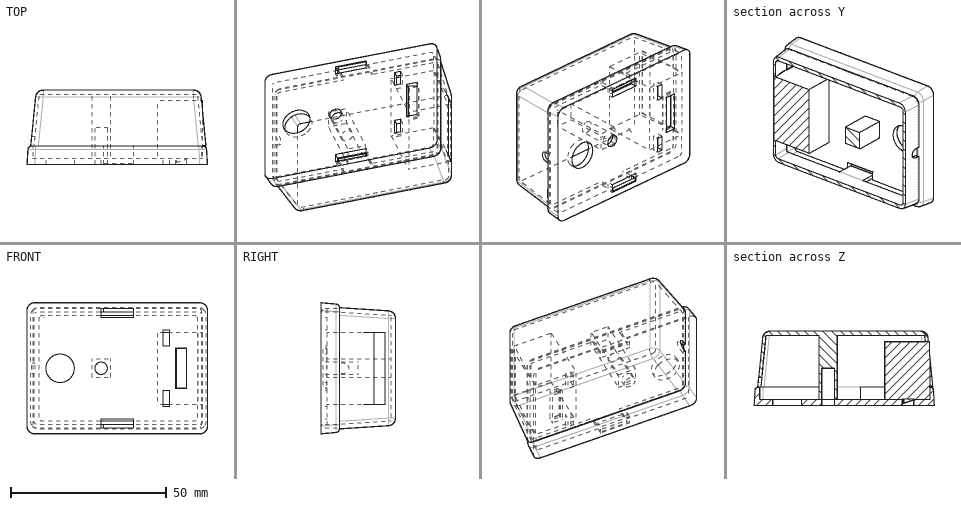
import cadquery as cq
import math


BASE_LENGTH = 58.17
BASE_WIDTH = 42.27
BASE_HEIGHT = 6.0
BASE_DRAFT_X = 3.4
BASE_DRAFT_Z = 5.0
BASE_PLATE = 2.0
BASE_RIM_RADIUS = 1.3
CORNER_RADIUS = 2.5
TRAY_LENGTH = 54.4
TRAY_WIDTH = 38.4
TRAY_CORNER_RADIUS = 1.0

TOTAL_HEIGHT = 24.03
COVER_SHIFT = 0.35
COVER_LENGTH = 56.5
COVER_WIDTH = 39.1
COVER_DRAFT_X = 5.7
COVER_DRAFT_Z = 3.7
COVER_WALL = 1.5
COVER_END_WALL = 1.1
CAVITY_CORNER_RADIUS = 1.0
COVER_TOP_RADIUS = 2.5

TONGUE_SLOT_LENGTH = 10.35
TONGUE_SLOT_INNER_Z = 16.35
TONGUE_LENGTH = TONGUE_SLOT_LENGTH - 2 * COVER_SHIFT
TONGUE_TIP_Y = 0.4

NOTCH_WIDTH = 3.26
NOTCH_HEIGHT = 3.0

OPENING_X = -18.4
OPENING_DIAMETER = 9.15

SCREW_X = -5.2
SCREW_DIAMETER = 4.0
PILLAR_SIDE = 6.0
PILLAR_BORE_DEPTH = 10.0

SMALL_SLOT_X = (14.8, 16.8)
SMALL_SLOT_Z = (7.15, 12.25)

LATCH_SLOT_X = (18.75, 22.35)
LATCH_SLOT_WIDTH = 13.0
LATCH_SIDE_GAP = 0.2
LATCH_LOW_Y = 0.7
LATCH_HIGH_Y = 1.75

BLOCK_X = (13.0, 27.5)
BLOCK_TOP_Y = 20.6
BLOCK_WIDTH = 23.2


def box(x_range, y_range, z_range):
    """Axis-aligned box between the given limits."""
    sizes = [high - low for low, high in (x_range, y_range, z_range)]
    corner = (x_range[0], y_range[0], z_range[0])
    return cq.Workplane("XY").box(*sizes, centered=False).translate(corner)


def cylinder(x, diameter, y_range):
    """Cylinder along Y at the given X, on the plane Z = 0."""
    low, high = y_range
    return cq.Workplane("XZ", origin=(x, low, 0)).circle(diameter / 2).extrude(low - high)


def drafted_block(length, width, height, draft_x, draft_z):
    """Block on the plane Y = 0 whose sides lean inwards towards +Y by the draft angles."""
    far_length = length - 2 * height * math.tan(math.radians(draft_x))
    far_width = width - 2 * height * math.tan(math.radians(draft_z))
    return (
        cq.Workplane("XZ")
        .rect(length, width)
        .workplane(offset=-height)
        .rect(far_length, far_width)
        .loft(ruled=True)
    )


def side_edges(block):
    """The four edges of a drafted block that join its front and back faces."""
    return block.edges("not(#Y)")


def both_sides(z_range):
    """A Z range and its mirror image about Z = 0."""
    low, high = z_range
    return ((low, high), (-high, -low))


def make_base():
    base = drafted_block(BASE_LENGTH, BASE_WIDTH, BASE_HEIGHT, BASE_DRAFT_X, BASE_DRAFT_Z)
    base = side_edges(base).fillet(CORNER_RADIUS)
    base = base.faces(">Y").edges().fillet(BASE_RIM_RADIUS)

    tray_depth = BASE_HEIGHT - BASE_PLATE
    tray = cq.Workplane("XY").box(TRAY_LENGTH, tray_depth, TRAY_WIDTH).edges("|Y").fillet(TRAY_CORNER_RADIUS)
    base = base.cut(tray.translate((0, BASE_PLATE + tray_depth / 2, 0)))

    plate = (0, BASE_PLATE)
    base = base.cut(cylinder(OPENING_X, OPENING_DIAMETER, plate))
    base = base.cut(cylinder(SCREW_X, SCREW_DIAMETER, plate))
    tongue_slot_x = (-TONGUE_SLOT_LENGTH / 2, TONGUE_SLOT_LENGTH / 2)
    for z_range in both_sides((TONGUE_SLOT_INNER_Z, TRAY_WIDTH / 2)):
        base = base.cut(box(tongue_slot_x, plate, z_range))
    for z_range in both_sides(SMALL_SLOT_Z):
        base = base.cut(box(SMALL_SLOT_X, plate, z_range))
    base = base.cut(box(LATCH_SLOT_X, plate, (-LATCH_SLOT_WIDTH / 2, LATCH_SLOT_WIDTH / 2)))
    return base.cut(make_block())


def make_cover():
    height = TOTAL_HEIGHT - BASE_HEIGHT
    cover = drafted_block(COVER_LENGTH, COVER_WIDTH, height, COVER_DRAFT_X, COVER_DRAFT_Z)
    cover = side_edges(cover).fillet(CORNER_RADIUS)
    cover = cover.faces(">Y").edges().fillet(COVER_TOP_RADIUS)

    cavity_width = COVER_WIDTH - 2 * COVER_WALL
    cavity_length = COVER_LENGTH - 2 * COVER_END_WALL
    cavity_height = height - COVER_WALL
    cavity = drafted_block(cavity_length, cavity_width, cavity_height, COVER_DRAFT_X, COVER_DRAFT_Z)
    cavity = side_edges(cavity).fillet(CAVITY_CORNER_RADIUS)
    cover = cover.cut(cavity).translate((COVER_SHIFT, BASE_HEIGHT, 0))

    tongue_x = (COVER_SHIFT - TONGUE_LENGTH / 2, COVER_SHIFT + TONGUE_LENGTH / 2)
    for z_range in both_sides((cavity_width / 2, TRAY_WIDTH / 2)):
        cover = cover.union(box(tongue_x, (TONGUE_TIP_Y, BASE_HEIGHT), z_range))

    half_side = PILLAR_SIDE / 2
    pillar_x = (SCREW_X - half_side, SCREW_X + half_side)
    pillar_y = (BASE_PLATE, TOTAL_HEIGHT - COVER_WALL)
    cover = cover.union(box(pillar_x, pillar_y, (-half_side, half_side)))
    cover = cover.cut(cylinder(SCREW_X, SCREW_DIAMETER, (BASE_PLATE, BASE_PLATE + PILLAR_BORE_DEPTH)))

    notch_radius = NOTCH_WIDTH / 2
    notch_centre_y = BASE_HEIGHT + NOTCH_HEIGHT - notch_radius
    notch_x = (-COVER_LENGTH / 2, -COVER_LENGTH / 2 + 2 * COVER_WALL)
    notch = box(notch_x, (BASE_HEIGHT, notch_centre_y), (-notch_radius, notch_radius))
    notch_end = (
        cq.Workplane("YZ", origin=(notch_x[0], notch_centre_y, 0))
        .circle(notch_radius)
        .extrude(notch_x[1] - notch_x[0])
    )
    return cover.cut(notch.union(notch_end)).cut(make_block())


def make_block():
    return box(BLOCK_X, (BASE_PLATE, BLOCK_TOP_Y), (-BLOCK_WIDTH / 2, BLOCK_WIDTH / 2))


def make_latch():
    left = LATCH_SLOT_X[0] + COVER_SHIFT
    right = LATCH_SLOT_X[1]
    width = LATCH_SLOT_WIDTH - 2 * LATCH_SIDE_GAP
    outline = [(left, LATCH_LOW_Y), (right, LATCH_HIGH_Y), (right, BASE_PLATE), (left, BASE_PLATE)]
    return cq.Workplane("XY").polyline(outline).close().extrude(width / 2, both=True)


base = make_base()
cover = make_cover()
block = make_block()
latch = make_latch()

result = cq.Compound.makeCompound([base.val(), cover.val(), block.val(), latch.val()])